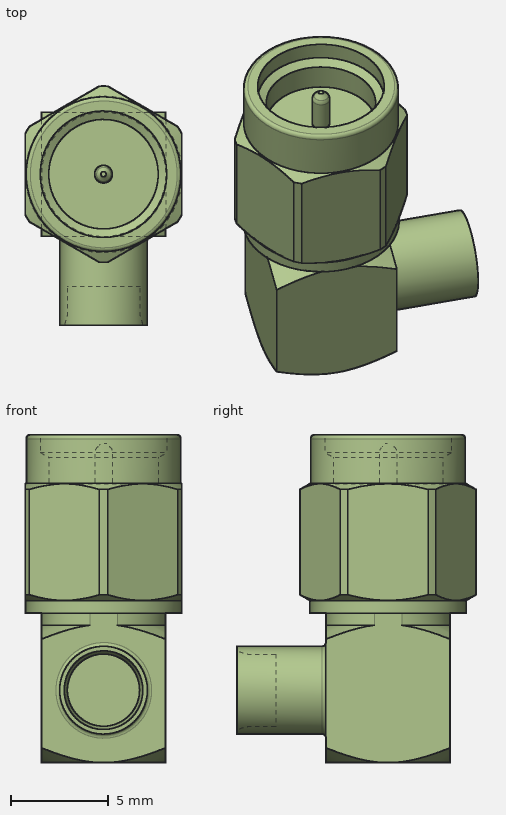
import cadquery as cq
import math

TOTAL_HEIGHT = 16.75
CHAMFER_SLOPE = math.tan(math.radians(30))

BODY_WIDTH = 6.35
BODY_SHOULDER = 7.02
NECK_RADIUS = 3.25

COLLAR_BASE = 7.64
COLLAR_RADIUS = 4.0
HEX_BASE = 8.25
HEX_TOP = 14.27
HEX_FLATS = 2 * COLLAR_RADIUS
HEX_CORNER_RADIUS = 4.5
SLEEVE_RADIUS = 3.95
SLEEVE_ROUND = 0.2

MOUTH_RADIUS = 3.23
MOUTH_DEPTH = 0.9
SOCKET_RADIUS = 2.8
SOCKET_DEPTH = 2.51
SEAT_DEPTH = MOUTH_DEPTH + (MOUTH_RADIUS - SOCKET_RADIUS) * CHAMFER_SLOPE

PIN_RADIUS = 0.45
PIN_TIP_RADIUS = 0.13
PIN_TIP_DEPTH = 0.44
PIN_SHOULDER_ROUND = 0.3

TUBE_HEIGHT = 3.7
TUBE_RADIUS = 2.25
TUBE_END = 7.72
TUBE_ROOT_FILLET = 0.2
TUBE_BORE_RADIUS = 1.85
TUBE_BORE_DEPTH = 2.0
TUBE_MOUTH_RADIUS = 2.01
TUBE_MOUTH_DEPTH = 0.59


def turned(outline):
    """Solid turned about the Z axis from (radius, height) points."""
    return cq.Workplane("XZ").polyline(outline).close().revolve(360, (0, 0, 0), (0, 1, 0))


def cylinder(radius, bottom, top):
    return cq.Workplane("XY").workplane(offset=bottom).circle(radius).extrude(top - bottom)


def elbow_body():
    """Square block whose corners are turned to 30 degree cones, with a round neck on top."""
    half_width = BODY_WIDTH / 2
    reach = BODY_WIDTH
    block = cq.Workplane("XY").rect(BODY_WIDTH, BODY_WIDTH).extrude(COLLAR_BASE)
    envelope = turned([
        (0, 0),
        (half_width, 0),
        (reach, (reach - half_width) * CHAMFER_SLOPE),
        (reach, BODY_SHOULDER - (reach - NECK_RADIUS) * CHAMFER_SLOPE),
        (NECK_RADIUS, BODY_SHOULDER),
        (NECK_RADIUS, COLLAR_BASE),
        (0, COLLAR_BASE),
    ])
    return block.intersect(envelope)


def nut_hexagon():
    """Hexagon with flats facing +X and -X, corners turned down and chamfered at both ends."""
    corner_drop = (HEX_CORNER_RADIUS - SLEEVE_RADIUS) * CHAMFER_SLOPE
    hexagon = (
        cq.Workplane("XY").workplane(offset=HEX_BASE)
        .polygon(6, HEX_FLATS, circumscribed=True)
        .extrude(HEX_TOP - HEX_BASE)
    )
    envelope = turned([
        (0, HEX_BASE),
        (SLEEVE_RADIUS, HEX_BASE),
        (HEX_CORNER_RADIUS, HEX_BASE + corner_drop),
        (HEX_CORNER_RADIUS, HEX_TOP - corner_drop),
        (SLEEVE_RADIUS, HEX_TOP),
        (0, HEX_TOP),
    ])
    return hexagon.intersect(envelope)


def nut_sleeve():
    return cylinder(SLEEVE_RADIUS, HEX_TOP, TOTAL_HEIGHT).faces(">Z").edges().fillet(SLEEVE_ROUND)


def nut_socket():
    """Stepped hollow in the top of the nut, with a conical seat between its two bores."""
    return turned([
        (0, TOTAL_HEIGHT - SOCKET_DEPTH),
        (SOCKET_RADIUS, TOTAL_HEIGHT - SOCKET_DEPTH),
        (SOCKET_RADIUS, TOTAL_HEIGHT - SEAT_DEPTH),
        (MOUTH_RADIUS, TOTAL_HEIGHT - MOUTH_DEPTH),
        (MOUTH_RADIUS, TOTAL_HEIGHT),
        (0, TOTAL_HEIGHT),
    ])


def centre_pin():
    """Contact pin standing on the socket floor, with a 45 degree tip and a rounded shoulder."""
    tip = TOTAL_HEIGHT - PIN_TIP_DEPTH
    shoulder = tip - (PIN_RADIUS - PIN_TIP_RADIUS)
    pin = turned([
        (0, TOTAL_HEIGHT - SOCKET_DEPTH),
        (PIN_RADIUS, TOTAL_HEIGHT - SOCKET_DEPTH),
        (PIN_RADIUS, shoulder),
        (PIN_TIP_RADIUS, tip),
        (0, tip),
    ])
    shoulder_edge = cq.selectors.NearestToPointSelector((0, 0, shoulder))
    return pin.edges("%CIRCLE").edges(shoulder_edge).fillet(PIN_SHOULDER_ROUND)


def along_tube(distance):
    """Plane across the cable tube, facing -Y, at a distance from the coupling axis."""
    return cq.Workplane("XZ", origin=(0, -distance, TUBE_HEIGHT))


def add_cable_tube(body):
    face = BODY_WIDTH / 2
    tube = along_tube(face).circle(TUBE_RADIUS).extrude(TUBE_END - face)
    root_edge = cq.selectors.NearestToPointSelector((0, -face, TUBE_HEIGHT))
    return body.union(tube).edges("%CIRCLE").edges(root_edge).fillet(TUBE_ROOT_FILLET)


def tube_bore():
    """Blind cable bore with a long conical mouth."""
    bore = along_tube(TUBE_END).circle(TUBE_BORE_RADIUS).extrude(-TUBE_BORE_DEPTH)
    mouth = (
        along_tube(TUBE_END).circle(TUBE_MOUTH_RADIUS)
        .workplane(offset=-TUBE_MOUTH_DEPTH).circle(TUBE_BORE_RADIUS)
        .loft()
    )
    return bore.union(mouth)


collar = cylinder(COLLAR_RADIUS, COLLAR_BASE, HEX_BASE)
nut = collar.union(nut_hexagon()).union(nut_sleeve()).cut(nut_socket())
result = add_cable_tube(elbow_body()).cut(tube_bore()).union(nut).union(centre_pin())